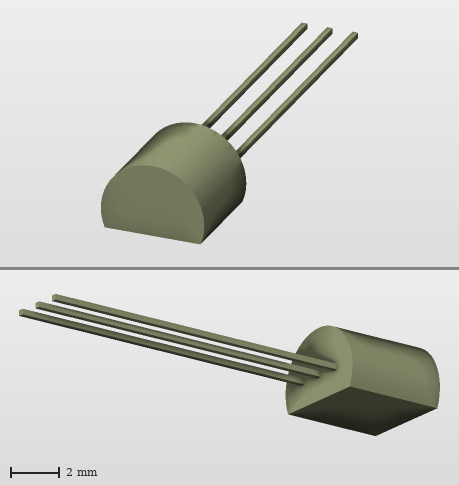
import cadquery as cq
import math

total_length = 19.0
body_length = 4.5
body_diameter = 4.64
body_height = 3.2

lead_count = 3
lead_pitch = 1.14
lead_width = 0.25
lead_center_z = 0.25

body_radius = body_diameter / 2
flat_z = body_radius - body_height
flat_half_width = math.sqrt(body_radius**2 - flat_z**2)
lead_length = total_length - body_length


def make_body():
    """Cylinder along Y with its underside cut flat; the front face is at Y = 0."""
    return (
        cq.Workplane("XZ", origin=(0, body_length, 0))
        .moveTo(-flat_half_width, flat_z)
        .threePointArc((0, body_radius), (flat_half_width, flat_z))
        .close()
        .extrude(body_length)
    )


def make_leads():
    """Row of square leads starting on the back face of the body."""
    first_x = -lead_pitch * (lead_count - 1) / 2
    centers = [(first_x + i * lead_pitch, lead_center_z) for i in range(lead_count)]
    return (
        cq.Workplane("XZ", origin=(0, body_length, 0))
        .pushPoints(centers)
        .rect(lead_width, lead_width)
        .extrude(-lead_length)
    )


result = make_body().union(make_leads())